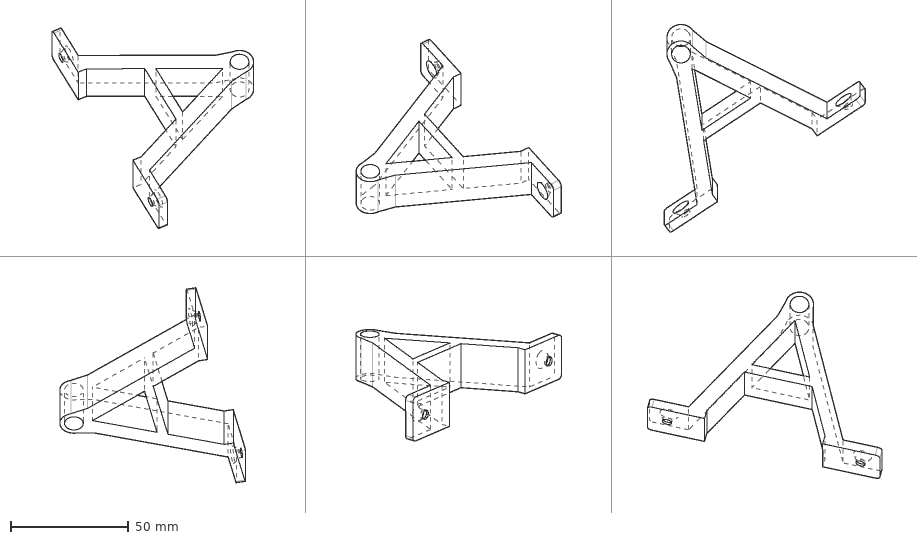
import cadquery as cq

width = 102.2
depth = 70.0
height = 20.0

foot_thickness = 4.0
foot_inner_x = 26.0
foot_corner_radius = 2.0
screw_hole_diameter = 4.0
countersink_diameter = 8.0
countersink_depth = 3.0
screw_hole_x = 42.5

leg_slope = 2.0
leg_outer_x = 33.9
shoulder_y = 56.3

crossbar_y = 26.2
crossbar_thickness = 4.3

eye_radius = 6.0
eye_bore_diameter = 8.0
eye_y = depth - eye_radius


def inner_x(y):
    """Half-width of the opening between the legs at depth y."""
    return foot_inner_x - (y - foot_thickness) / leg_slope


def outer_x(y):
    """Half-width over the outer faces of the legs at depth y."""
    return leg_outer_x - (y - foot_thickness) / leg_slope


def make_frame():
    """A-shaped profile with feet, legs, crossbar and eye."""
    right_foot_to_eye = [
        (foot_inner_x, foot_thickness),
        (foot_inner_x, 0),
        (width / 2, 0),
        (width / 2, foot_thickness),
        (leg_outer_x, foot_thickness),
        (outer_x(shoulder_y), shoulder_y),
        (eye_radius, eye_y),
    ]
    eye_to_left_foot = [(-x, y) for x, y in reversed(right_foot_to_eye)]
    profile = (
        cq.Workplane("XY")
        .workplane(offset=-height / 2)
        .moveTo(inner_x(crossbar_y), crossbar_y)
    )
    for point in right_foot_to_eye:
        profile = profile.lineTo(*point)
    profile = profile.threePointArc((0, depth), eye_to_left_foot[0])
    for point in eye_to_left_foot[1:]:
        profile = profile.lineTo(*point)
    return profile.lineTo(-inner_x(crossbar_y), crossbar_y).close().extrude(height)


def make_window():
    """Triangular opening between the crossbar and the eye."""
    base_y = crossbar_y + crossbar_thickness
    apex_y = foot_thickness + foot_inner_x * leg_slope
    corners = [(-inner_x(base_y), base_y), (inner_x(base_y), base_y), (0, apex_y)]
    return cq.Workplane("XY").polyline(corners).close().extrude(height, both=True)


def make_eye_bore():
    """Through bore of the eye, along Z."""
    return (
        cq.Workplane("XY")
        .center(0, eye_y)
        .circle(eye_bore_diameter / 2)
        .extrude(height, both=True)
    )


def make_screw_hole(x):
    """Through hole along Y, countersunk on the +Y face of the foot."""
    hole_radius = screw_hole_diameter / 2
    countersink_radius = countersink_diameter / 2
    half_section = [
        (x, 0),
        (x + hole_radius, 0),
        (x + hole_radius, foot_thickness - countersink_depth),
        (x + countersink_radius, foot_thickness),
        (x, foot_thickness),
    ]
    section = cq.Workplane("XY").polyline(half_section).close()
    return section.revolve(360, (x, 0, 0), (x, 1, 0))


result = make_frame().faces("<X or >X").edges("|Y").fillet(foot_corner_radius)
result = result.cut(make_window()).cut(make_eye_bore())
for hole_x in (-screw_hole_x, screw_hole_x):
    result = result.cut(make_screw_hole(hole_x))